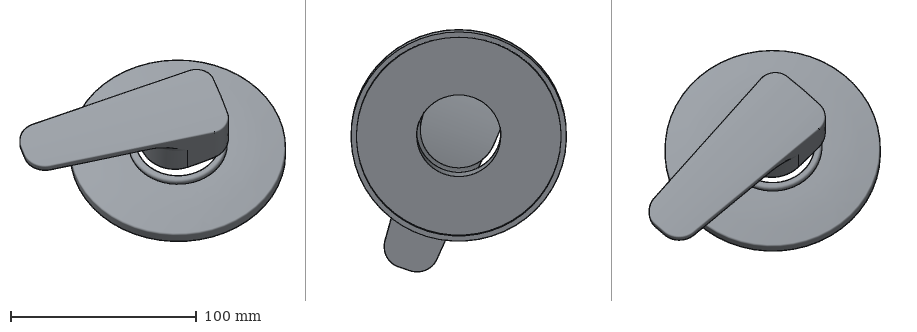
import cadquery as cq
import math

plate_radius = 58.0
plate_wall_height = 5.4
rim_round = 1.0
bore_radius = 22.7
underside_recess_depth = 1.9
rim_wall = 2.9
collar_radius = 26.6
collar_base_height = 9.0
collar_top = 11.5
collar_round = 1.5

hub_front_bottom = 13.6
hub_middle_bottom = 15.5
hub_middle_y = -1.6
hub_rear_bottom = 24.1
lever_rear_y = 24.4
lever_rear_sag = 0.7
lever_rear_half_width = 22.5
lever_rear_corner_radius = 10.0
lever_tip_y = -88.1
lever_tip_half_width = 14.0
lever_tip_corner_radius = 11.7
lever_bottom = 39.6
lever_top = 43.5
lever_edge_top = 42.5
lever_edge_round = 0.7
hub_blend_radius = 8.3
lever_side_run = lever_rear_y - lever_rear_sag - lever_tip_y
lever_side_taper = (lever_rear_half_width - lever_tip_half_width) / lever_side_run
lever_side_angle = math.atan(lever_side_taper)
hub_radius = (lever_tip_half_width - lever_tip_y * lever_side_taper) * math.cos(lever_side_angle)

bead_radius = 4.0
bead_tip_y = -22.7
bead_height = 27.9


def make_plate():
    """Domed round plate with a raised collar around a through bore and a shallow recess underneath."""
    dome_edge_radius = plate_radius - rim_round
    dome_edge_height = plate_wall_height + rim_round
    dome_run = dome_edge_radius - collar_radius
    dome_drop = collar_base_height - dome_edge_height
    dome_arc_radius = (dome_run**2 + dome_drop**2) / (2 * dome_drop)
    half_angle = math.asin(dome_run / dome_arc_radius) / 2
    dome_middle = (
        collar_radius + dome_arc_radius * math.sin(half_angle),
        collar_base_height - dome_arc_radius * (1 - math.cos(half_angle)),
    )
    recess_radius = plate_radius - rim_wall
    collar_wall_top = collar_top - collar_round
    return (
        cq.Workplane("XZ")
        .moveTo(bore_radius, underside_recess_depth)
        .lineTo(recess_radius, underside_recess_depth)
        .lineTo(recess_radius, 0)
        .lineTo(plate_radius, 0)
        .lineTo(plate_radius, plate_wall_height)
        .radiusArc((dome_edge_radius, dome_edge_height), -rim_round)
        .threePointArc(dome_middle, (collar_radius, collar_base_height))
        .lineTo(collar_radius, collar_wall_top)
        .radiusArc((collar_radius - collar_round, collar_top), -collar_round)
        .lineTo(bore_radius, collar_top)
        .close()
        .revolve(360, (0, 0), (0, 1))
    )


def lever_prism(bottom, top):
    """Tapered lever outline with rounded corners, extruded between two heights."""
    rear_corner_y = lever_rear_y - lever_rear_sag
    prism = (
        cq.Workplane("XY", origin=(0, 0, bottom))
        .moveTo(-lever_tip_half_width, lever_tip_y)
        .lineTo(lever_tip_half_width, lever_tip_y)
        .lineTo(lever_rear_half_width, rear_corner_y)
        .threePointArc((0, lever_rear_y), (-lever_rear_half_width, rear_corner_y))
        .close()
        .extrude(top - bottom)
    )
    prism = prism.edges("|Z").edges(">Y").fillet(lever_rear_corner_radius)
    return prism.edges("|Z").edges("<Y").fillet(lever_tip_corner_radius)


def make_lever():
    """Flat lever with a top that is crowned across its width."""
    crown = (
        cq.Workplane("XZ", origin=(0, lever_rear_y, 0))
        .moveTo(-lever_rear_half_width, lever_bottom)
        .lineTo(lever_rear_half_width, lever_bottom)
        .lineTo(lever_rear_half_width, lever_edge_top)
        .threePointArc((0, lever_top), (-lever_rear_half_width, lever_edge_top))
        .close()
        .extrude(lever_rear_y - lever_tip_y)
    )
    lever = lever_prism(lever_bottom, lever_top).intersect(crown)
    return lever.faces(">Z").edges().fillet(lever_edge_round)


def make_hub():
    """Round-fronted hub under the rear of the lever, with an arched bottom."""
    barrel = (
        cq.Workplane("XY", origin=(0, 0, hub_front_bottom))
        .circle(hub_radius)
        .extrude(lever_bottom - hub_front_bottom)
    )
    rear_block = (
        cq.Workplane("XY", origin=(0, hub_middle_y, hub_front_bottom))
        .box(
            2 * lever_rear_half_width,
            lever_rear_y - hub_middle_y,
            lever_bottom - hub_front_bottom,
            centered=(True, False, False),
        )
    )
    hub = barrel.union(rear_block)
    blend = (
        cq.Workplane("XZ")
        .moveTo(0, lever_bottom)
        .lineTo(hub_radius + hub_blend_radius, lever_bottom)
        .radiusArc((hub_radius, lever_bottom - hub_blend_radius), -hub_blend_radius)
        .lineTo(0, lever_bottom - hub_blend_radius)
        .close()
        .revolve(360, (0, 0), (0, 1))
    )
    hub = hub.union(blend).intersect(lever_prism(hub_front_bottom, lever_bottom))
    front_y = -hub_radius - hub_blend_radius
    side_outline = (
        cq.Workplane("YZ", origin=(-lever_rear_half_width, 0, 0))
        .moveTo(lever_rear_y, lever_bottom)
        .lineTo(lever_rear_y, hub_rear_bottom)
        .threePointArc((hub_middle_y, hub_middle_bottom), (-hub_radius, hub_front_bottom))
        .lineTo(front_y, hub_front_bottom)
        .lineTo(front_y, lever_bottom)
        .close()
        .extrude(2 * lever_rear_half_width)
    )
    return hub.intersect(side_outline)


def make_handle():
    """Lever, hub and marker bead in one piece."""
    bead_center = (0, bead_tip_y + bead_radius, bead_height)
    bead = cq.Workplane("XY", origin=bead_center).sphere(bead_radius)
    return make_lever().union(make_hub()).union(bead)


plate = make_plate()
handle = make_handle()

result = cq.Compound.makeCompound([plate.val(), handle.val()])